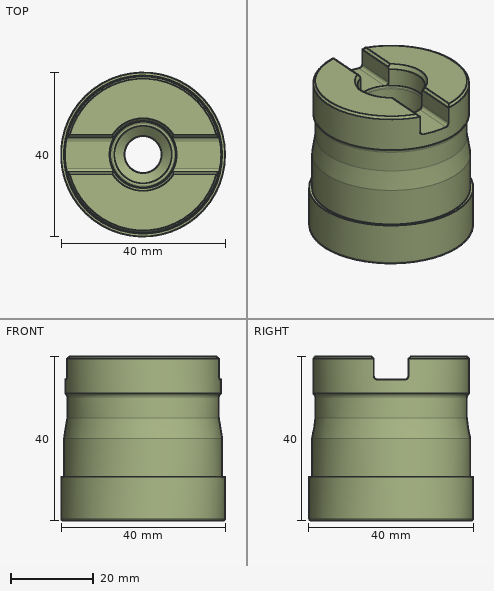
import cadquery as cq
import math

COS_45 = math.cos(math.radians(45))

total_height = 40.0
base_radius = 20.0
lower_radius = 19.3
neck_radius = 18.5
head_radius = 19.0
base_top = 10.7
lower_top = 20.1
neck_bottom = 25.0
neck_top = 30.1
relief_radius = 0.8
bottom_rounding = 0.65
edge_chamfer = 0.65
rim_chamfer_width = 0.5

mouth_radius = 8.2
mouth_chamfer_height = 1.1
lead_in_width = 0.15
lead_in_height = 0.4
blend_radius = 0.8
bore_floor_rounding = 0.3
seat_radius = 7.0
hole_radius = 4.5
seat_height = 16.0

slot_width = 8.4
slot_floor = 34.4
slot_corner_radius = 0.9


def revolve_outline(outline):
    """Revolve a closed (radius, height) outline around the Z axis."""
    return outline.close().revolve(360, (0, 0, 0), (0, 1, 0))


def make_body():
    relief_end_radius = neck_radius + relief_radius * (1 - COS_45)
    relief_end_height = neck_top + relief_radius * COS_45
    head_bottom = relief_end_height + (head_radius - relief_end_radius)
    outline = (
        cq.Workplane("XZ")
        .lineTo(base_radius - bottom_rounding, 0)
        .radiusArc((base_radius, bottom_rounding), -bottom_rounding)
        .lineTo(base_radius, base_top)
        .lineTo(lower_radius, base_top)
        .lineTo(lower_radius, lower_top)
        .lineTo(neck_radius, neck_bottom)
        .lineTo(neck_radius, neck_top)
        .radiusArc((relief_end_radius, relief_end_height), relief_radius)
        .lineTo(head_radius, head_bottom)
        .lineTo(head_radius, total_height - edge_chamfer)
        .lineTo(head_radius - rim_chamfer_width, total_height)
        .lineTo(0, total_height)
    )
    return revolve_outline(outline)


def make_bore():
    seat_depth = seat_radius - hole_radius
    lead_in_angle = math.atan2(lead_in_width, lead_in_height)
    blend_top_radius = mouth_radius - lead_in_width
    blend_top_height = slot_floor - lead_in_height
    bore_radius = blend_top_radius - blend_radius * (1 - math.cos(lead_in_angle))
    bore_top = blend_top_height - blend_radius * math.sin(lead_in_angle)
    outline = (
        cq.Workplane("XZ")
        .lineTo(hole_radius, 0)
        .lineTo(hole_radius, seat_height - seat_depth)
        .lineTo(seat_radius, seat_height)
        .lineTo(bore_radius - bore_floor_rounding, seat_height)
        .radiusArc((bore_radius, seat_height + bore_floor_rounding), -bore_floor_rounding)
        .lineTo(bore_radius, bore_top)
        .radiusArc((blend_top_radius, blend_top_height), blend_radius)
        .lineTo(mouth_radius, slot_floor)
        .lineTo(mouth_radius, total_height - mouth_chamfer_height)
        .lineTo(mouth_radius + edge_chamfer, total_height)
        .lineTo(0, total_height)
    )
    return revolve_outline(outline)


def make_slot():
    """Slot with rounded floor corners and chamfered upper edges."""
    slot_length = 2 * base_radius
    slot_depth = total_height - slot_floor
    half_width = slot_width / 2
    channel = (
        cq.Workplane("XY")
        .box(slot_length, slot_width, slot_depth, centered=(True, True, False))
        .translate((0, 0, slot_floor))
        .edges("|X and <Z")
        .fillet(slot_corner_radius)
    )
    flare = (
        cq.Workplane("YZ")
        .polyline([
            (-half_width, total_height - edge_chamfer),
            (half_width, total_height - edge_chamfer),
            (half_width + edge_chamfer, total_height),
            (-half_width - edge_chamfer, total_height),
        ])
        .close()
        .extrude(slot_length / 2, both=True)
    )
    return channel.union(flare)


result = make_body().cut(make_bore()).cut(make_slot())